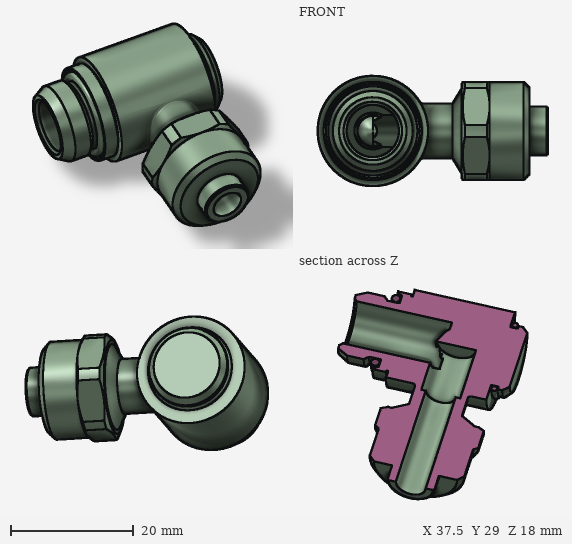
import cadquery as cq


barrel_d = 18.0
barrel_rear_y = 7.5
barrel_front_y = -9.5
rear_end_y = 10.5
rear_d = 13.05
rear_chamfer = 1.0
front_end_y = rear_end_y - 29.0
thread_d = 13.0
thread_tip_d = 11.0
thread_taper_y = -16.7
thread_start_y = -13.88
neck_d = 11.6
neck_end_y = thread_start_y + (thread_d - neck_d) / 2
collar_d = 16.0
collar_rear_y = -9.68
collar_front_y = -12.0
relief_d = 15.38

snap_outer_d = 14.0
snap_inner_d = 11.95
snap_wire_r = (snap_outer_d - snap_inner_d) / 4
snap_y = 8.15
snap_gap = 0.55
snap_groove_rear_y = 8.7

oring_outer_d = 14.5
oring_wire_r = (oring_outer_d - neck_d) / 4
oring_y = -11.92
recess_floor_y = oring_y + oring_wire_r
recess_floor_d = oring_outer_d
recess_mouth_d = 15.3

arm_d = 9.0
arm_fillet = 0.5
cone_start_x = 13.0
nut_start_x = 14.48
cone_end_d = 14.0
hex_flats = 16.0
hex_corner_d = 17.48
hex_face_d = 15.3
hex_chamfer_end_x = 15.0
hex_chamfer_start_x = 18.55
hex_end_x = 19.0
sleeve_end_x = 25.55
sleeve_chamfer = 0.98
tip_d = 8.0
tip_end_x = 37.5 - barrel_d / 2
tip_chamfer = 0.25

port_d = 8.5
port_mouth_d = 9.52
port_chamfer = (port_mouth_d - port_d) / 2
port_floor_y = -1.95
nub_flats = 5.0
nub_base_d = 6.0
nub_height = 0.45
nub_cone_height = 1.15
passage_d = 6.5
passage_end_x = 9.75
arm_bore_d = 5.0


def turned_about_y(stations):
    """Solid of revolution about Y from (diameter, y) stations."""
    points = [(d / 2, y) for d, y in stations]
    outline = [(0, points[0][1]), *points, (0, points[-1][1])]
    return cq.Workplane("XY").polyline(outline).close().revolve(360, (0, 0, 0), (0, 1, 0))


def turned_about_x(stations):
    """Solid of revolution about X from (x, diameter) stations."""
    points = [(x, d / 2) for x, d in stations]
    outline = [(points[0][0], 0), *points, (points[-1][0], 0)]
    return cq.Workplane("XY").polyline(outline).close().revolve(360, (0, 0, 0), (1, 0, 0))


def wire_ring(outer_d, wire_r, y):
    """Ring of round wire about the Y axis."""
    section = cq.Workplane("XY").center(outer_d / 2 - wire_r, y).circle(wire_r)
    return section.revolve(360, (wire_r - outer_d / 2, 0, 0), (wire_r - outer_d / 2, 1, 0))


def barrel_with_arm():
    barrel = turned_about_y([(barrel_d, barrel_front_y), (barrel_d, barrel_rear_y)])
    arm = turned_about_x([(0, arm_d), (cone_start_x, arm_d)])
    joined = barrel.union(arm)
    joint_box = cq.selectors.BoxSelector(
        (0.38, -arm_d / 2 - 0.38, -arm_d / 2 - 0.38),
        (barrel_d / 2 + 0.38, arm_d / 2 + 0.38, arm_d / 2 + 0.38),
        boundingbox=True,
    )
    return joined.edges(joint_box).fillet(arm_fillet)


def screwed_ends():
    rear = turned_about_y([
        (snap_inner_d, barrel_rear_y),
        (snap_inner_d, snap_groove_rear_y),
        (rear_d, snap_groove_rear_y),
        (rear_d, rear_end_y - rear_chamfer),
        (rear_d - 2 * rear_chamfer, rear_end_y),
    ])
    front = turned_about_y([
        (thread_tip_d, front_end_y),
        (thread_d, thread_taper_y),
        (thread_d, thread_start_y),
        (neck_d, neck_end_y),
        (neck_d, recess_floor_y),
        (recess_floor_d, recess_floor_y),
        (recess_mouth_d, collar_front_y),
        (collar_d, collar_front_y),
        (collar_d, collar_rear_y),
        (relief_d, collar_rear_y),
        (relief_d, barrel_front_y),
    ])
    return rear, front


def nut_and_tip():
    hexagon = (
        cq.Workplane("YZ", origin=(nut_start_x, 0, 0))
        .transformed(rotate=(0, 0, 90))
        .polygon(6, hex_flats, circumscribed=True)
        .extrude(hex_end_x - nut_start_x)
    )
    hex_envelope = turned_about_x([
        (nut_start_x, hex_face_d),
        (hex_chamfer_end_x, hex_corner_d),
        (hex_chamfer_start_x, hex_corner_d),
        (hex_end_x, hex_flats),
    ])
    cone = turned_about_x([(cone_start_x, arm_d), (nut_start_x, cone_end_d)])
    sleeve = turned_about_x([
        (hex_end_x, hex_flats),
        (sleeve_end_x - sleeve_chamfer, hex_flats),
        (sleeve_end_x, hex_flats - 2 * sleeve_chamfer),
    ])
    tip = turned_about_x([
        (sleeve_end_x, tip_d),
        (tip_end_x - tip_chamfer, tip_d),
        (tip_end_x, tip_d - 2 * tip_chamfer),
    ])
    return hexagon.intersect(hex_envelope).union(cone).union(sleeve).union(tip)


def front_port():
    return turned_about_y([
        (port_mouth_d, front_end_y),
        (port_d, front_end_y + port_chamfer),
        (port_d, port_floor_y),
    ])


def port_nub():
    """Pointed nub with a hexagonal shoulder, rising from the floor of the port."""
    shoulder_y = port_floor_y - nub_height
    hexagon = (
        cq.Workplane("XZ", origin=(0, port_floor_y, 0))
        .polygon(6, nub_flats, circumscribed=True)
        .extrude(nub_height)
    )
    flank = turned_about_y([(nub_base_d, port_floor_y), (nub_flats, shoulder_y)])
    point = cq.Workplane(cq.Solid.makeCone(
        nub_flats / 2, 0, nub_cone_height,
        cq.Vector(0, shoulder_y, 0), cq.Vector(0, -1, 0),
    ))
    return hexagon.union(flank).union(point)


def arm_passage():
    """Stepped bore along the arm, from the swivel axis to the tip."""
    return turned_about_x([
        (0, passage_d),
        (passage_end_x, passage_d),
        (passage_end_x, arm_bore_d),
        (tip_end_x, arm_bore_d),
    ])


def make_fitting():
    fitting = barrel_with_arm()
    for section in (*screwed_ends(), nut_and_tip()):
        fitting = fitting.union(section)
    fitting = fitting.cut(front_port().cut(port_nub()))
    fitting = fitting.cut(arm_passage())
    return fitting.solids()


def make_snap_ring():
    """Wire ring with its opening at the top."""
    opening = cq.Workplane("XY").box(
        snap_gap, barrel_d, snap_outer_d, centered=(True, True, False)
    ).translate((0, snap_y, 0))
    return wire_ring(snap_outer_d, snap_wire_r, snap_y).cut(opening)


def make_oring():
    return wire_ring(oring_outer_d, oring_wire_r, oring_y)


fitting = make_fitting()
snap_ring = make_snap_ring()
oring = make_oring()

result = cq.Compound.makeCompound([fitting.val(), snap_ring.val(), oring.val()])